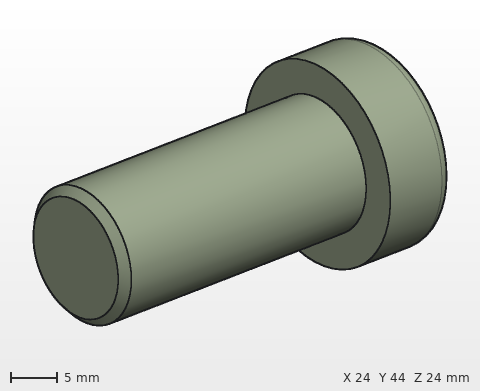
import cadquery as cq

total_length = 44.0
head_diameter = 24.0
head_height = 9.0
head_edge_radius = 1.6
shank_diameter = 16.0
tip_chamfer = 1.0

shank_length = total_length - head_height


def cylinder_along_y(diameter, start_y, length):
    """Cylinder on the Y axis, running from start_y toward +Y."""
    base = cq.Workplane("XZ", origin=(0, start_y, 0))
    return base.circle(diameter / 2).extrude(-length)


shank = cylinder_along_y(shank_diameter, 0, shank_length)
shank = shank.faces("<Y").chamfer(tip_chamfer)

head = cylinder_along_y(head_diameter, shank_length, head_height)
head = head.faces(">Y").edges().fillet(head_edge_radius)

result = shank.union(head)